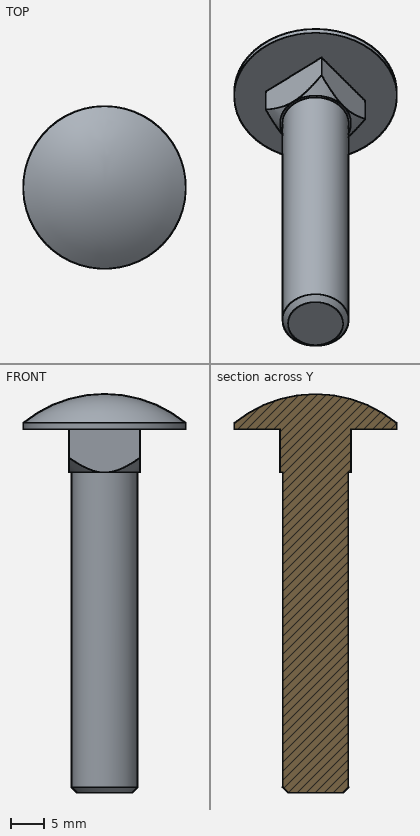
import cadquery as cq

total_length = 60.4
head_diameter = 24.65
head_height = 5.4
rim_thickness = 0.95
neck_width = 10.75
neck_length = 6.5
shank_diameter = 10.0
tip_chamfer = 0.85

head_radius = head_diameter / 2
head_bottom = total_length - head_height
rim_top = head_bottom + rim_thickness
neck_bottom = head_bottom - neck_length
shank_radius = shank_diameter / 2

dome_height = total_length - rim_top
dome_radius = (head_radius**2 + dome_height**2) / (2 * dome_height)
dome_center = total_length - dome_radius
arc_mid_radius = head_radius / 2
arc_mid_z = dome_center + (dome_radius**2 - arc_mid_radius**2) ** 0.5


def make_head():
    """Domed head with a thin cylindrical rim."""
    return (
        cq.Workplane("YZ")
        .moveTo(0, head_bottom)
        .lineTo(head_radius, head_bottom)
        .lineTo(head_radius, rim_top)
        .threePointArc((arc_mid_radius, arc_mid_z), (0, total_length))
        .close()
        .revolve(360, (0, 0, 0), (0, 1, 0))
    )


def make_neck():
    """Square neck whose lower corners are cut back by a 45 degree cone."""
    square = (
        cq.Workplane("XY")
        .workplane(offset=neck_bottom)
        .rect(neck_width, neck_width)
        .extrude(neck_length)
    )
    bottom_radius = neck_width / 2
    top_radius = bottom_radius + neck_length
    cone = (
        cq.Workplane("YZ")
        .moveTo(0, neck_bottom)
        .lineTo(bottom_radius, neck_bottom)
        .lineTo(top_radius, head_bottom)
        .lineTo(0, head_bottom)
        .close()
        .revolve(360, (0, 0, 0), (0, 1, 0))
    )
    return square.intersect(cone)


def make_shank():
    """Plain round shank with a chamfered tip."""
    return (
        cq.Workplane("XY")
        .circle(shank_radius)
        .extrude(neck_bottom)
        .faces("<Z")
        .chamfer(tip_chamfer)
    )


result = make_head().union(make_neck()).union(make_shank())